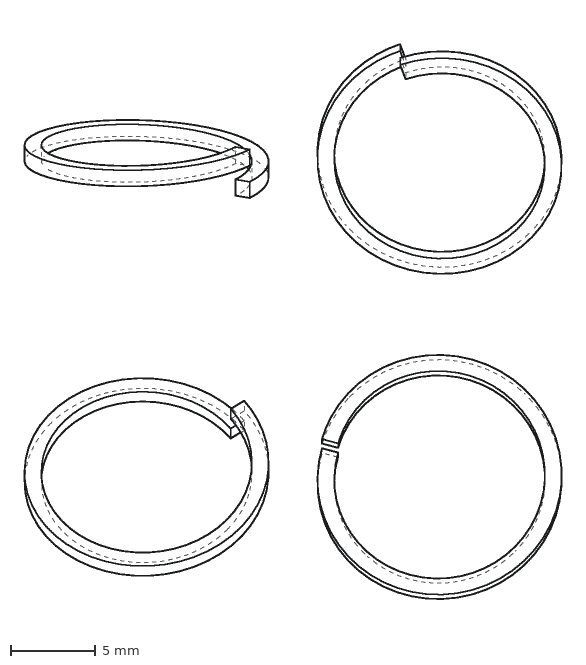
import cadquery as cq

outer_diameter = 14.5
section_side = 1.0
pitch = 2 * section_side

mean_radius = (outer_diameter - section_side) / 2

path = cq.Wire.makeHelix(pitch=pitch, height=pitch, radius=mean_radius)

section = cq.Workplane("XZ").center(mean_radius, 0).rect(section_side, section_side)

result = section.sweep(cq.Workplane(obj=path), isFrenet=True)